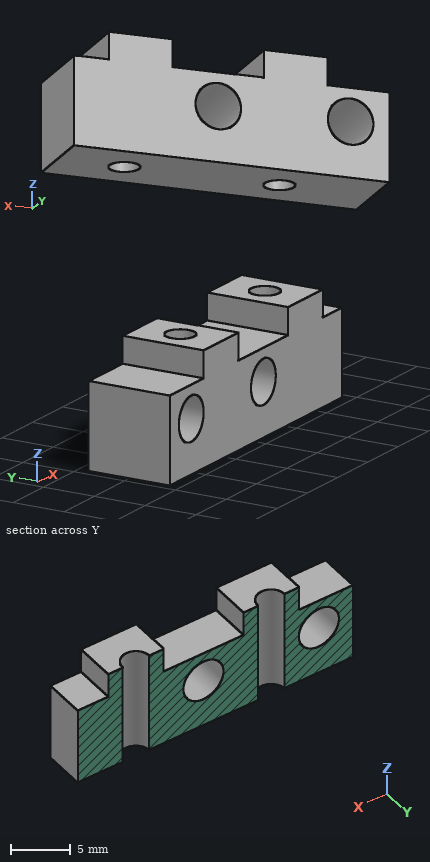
import cadquery as cq

length = 28.5
depth = 8.0
base_height = 8.0
total_height = 10.5

pad_width = 5.75
pad_spacing = 14.0
first_pad_center = 8.46
pad_centers = [first_pad_center, first_pad_center + pad_spacing]
pad_hole_diameter = 2.7

cross_hole_diameter = 4.1
cross_hole_spacing = 11.95
cross_hole_height = 5.0
first_cross_hole = 3.53
cross_hole_centers = [first_cross_hole, first_cross_hole + cross_hole_spacing]


def block(x_start, width, height):
    """Full-depth block standing on the bottom plane."""
    return cq.Workplane("XY").box(width, depth, height, centered=False).translate((x_start, 0, 0))


def vertical_hole(x):
    """Cutter through the full height at mid depth."""
    return (
        cq.Workplane("XY")
        .center(x, depth / 2)
        .circle(pad_hole_diameter / 2)
        .extrude(total_height)
    )


def cross_hole(x):
    """Cutter through the full depth, running from front to back."""
    return (
        cq.Workplane("XZ")
        .center(x, cross_hole_height)
        .circle(cross_hole_diameter / 2)
        .extrude(-depth)
    )


result = block(0, length, base_height)

for pad_x in pad_centers:
    result = result.union(block(pad_x - pad_width / 2, pad_width, total_height))

for pad_x in pad_centers:
    result = result.cut(vertical_hole(pad_x))

for hole_x in cross_hole_centers:
    result = result.cut(cross_hole(hole_x))